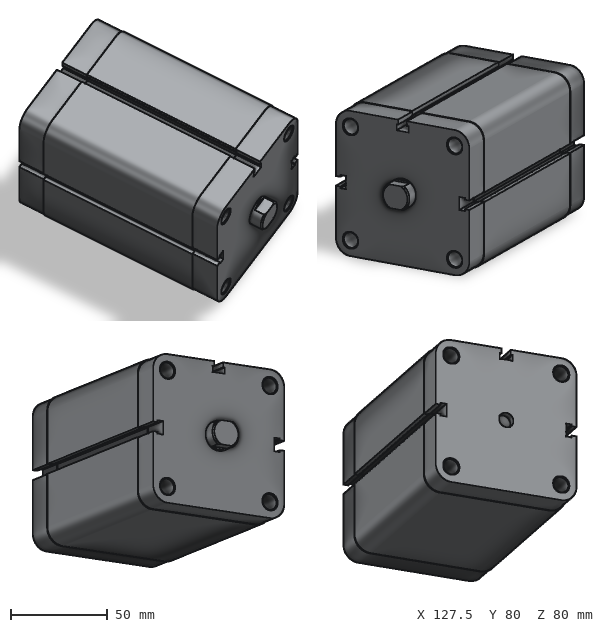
import cadquery as cq


total_length = 127.5
cap_length = 14.9
rod_length = 7.5
barrel_length = total_length - 2 * cap_length - rod_length

barrel_start = cap_length
front_cap_start = barrel_start + barrel_length
rod_start = front_cap_start + cap_length

barrel_width = 80.0
cap_inset = 0.4
cap_width = barrel_width - 2 * cap_inset
corner_radius = 9.0
hole_offset = barrel_width / 2 - corner_radius
hole_diameter = 8.3
hole_chamfer = 0.5

slot_mouth = 5.2
slot_lip = 2.7
slot_depth = 6.0
slot_undercut = 6.4
cap_slot_undercut = slot_undercut + 2 * cap_inset
slot_angles = (-90, 0, 90)

centring_diameter = 8.0
centring_depth = 4.1

rod_diameter = 16.0
rod_chamfer = 0.8
flat_spacing = 12.9
collar_length = 1.3
collar_bevel = 0.5


def section_plane(x):
    """Plane across the cylinder at x, with local X along +Y and local Y along +Z."""
    return cq.Workplane("YZ", origin=(x, 0, 0))


def hole_pattern(x):
    """The four tie-rod hole centres on the section at x."""
    pitch = 2 * hole_offset
    return section_plane(x).rect(pitch, pitch, forConstruction=True).vertices()


def t_slot(x, length, width, undercut):
    """T-slot cutter open through the top face of a section with the given width."""
    top = width / 2
    mouth = section_plane(x).center(0, top - slot_lip / 2).rect(slot_mouth, slot_lip).extrude(length)
    pocket_height = slot_depth - slot_lip
    pocket_centre = top - slot_lip - pocket_height / 2
    pocket = section_plane(x).center(0, pocket_centre).rect(undercut, pocket_height).extrude(length)
    return mouth.union(pocket)


def slotted_block(x, length, width, undercut):
    """Rounded square block with its T-slots and through tie-rod holes."""
    radius = width / 2 - hole_offset
    block = section_plane(x).rect(width, width).extrude(length).edges("|X").fillet(radius)
    slot = t_slot(x, length, width, undercut)
    for angle in slot_angles:
        block = block.cut(slot.rotate((0, 0, 0), (1, 0, 0), angle))
    return block.cut(hole_pattern(x).circle(hole_diameter / 2).extrude(length))


def make_barrel():
    return slotted_block(barrel_start, barrel_length, barrel_width, slot_undercut)


def make_cap(x, outer_x, inward):
    """End cap from x, its tie-rod holes countersunk at the face outer_x; inward is +1 or -1."""
    cap = slotted_block(x, cap_length, cap_width, cap_slot_undercut)
    hole_radius = hole_diameter / 2
    for y in (-hole_offset, hole_offset):
        for z in (-hole_offset, hole_offset):
            cone = cq.Solid.makeCone(
                hole_radius + hole_chamfer,
                hole_radius,
                hole_chamfer,
                pnt=cq.Vector(outer_x, y, z),
                dir=cq.Vector(inward, 0, 0),
            )
            cap = cap.cut(cq.Workplane(cone))
    return cap


def make_rear_cap():
    centring_hole = section_plane(0).circle(centring_diameter / 2).extrude(centring_depth)
    return make_cap(0, 0, 1).cut(centring_hole)


def make_front_cap():
    return make_cap(front_cap_start, rod_start, -1)


def make_rod():
    """Round rod end with wrench flats above and below, beyond a collar bevelled at the flats."""
    rod = section_plane(rod_start).circle(rod_diameter / 2).extrude(rod_length)
    rod = rod.faces(">X").chamfer(rod_chamfer)
    radius = rod_diameter / 2
    flat_start = rod_start + collar_length
    flat_height = flat_spacing / 2
    flat_cutter = (
        cq.Workplane("XZ", origin=(0, radius, 0))
        .moveTo(flat_start, flat_height)
        .lineTo(total_length, flat_height)
        .lineTo(total_length, radius)
        .lineTo(flat_start - collar_bevel, radius)
        .lineTo(flat_start, radius - collar_bevel)
        .close()
        .extrude(rod_diameter)
    )
    return rod.cut(flat_cutter).cut(flat_cutter.mirror("XY"))


barrel = make_barrel()
rear_cap = make_rear_cap()
front_cap = make_front_cap()
rod = make_rod()

result = cq.Compound.makeCompound([barrel.val(), rear_cap.val(), front_cap.val(), rod.val()])